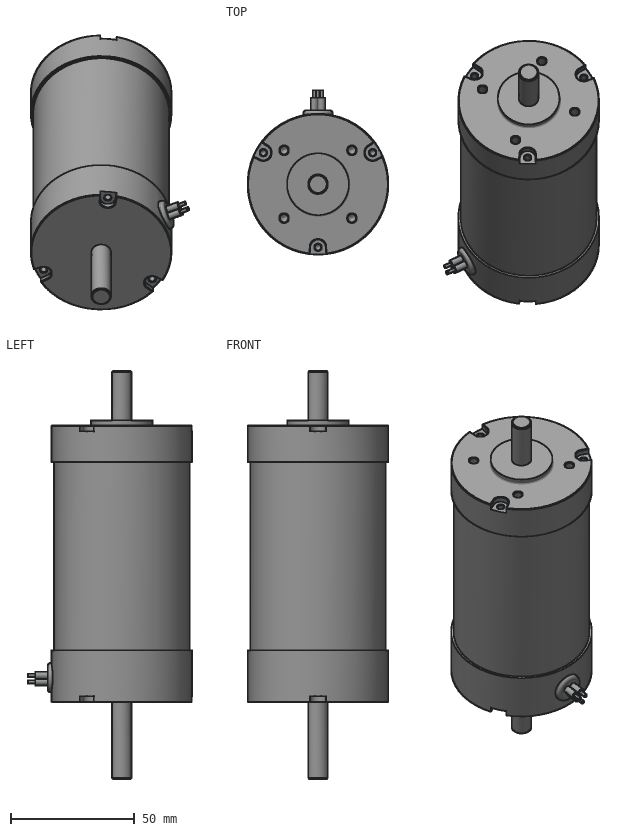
import cadquery as cq
import math

body_length = 112.0
cap_diameter = 57.0
can_diameter = 55.0
top_cap_height = 15.0
bottom_cap_height = 21.0
cap_edge_chamfer = 0.3

shaft_diameter = 8.0
shaft_chamfer = 0.5
shaft_top_overhang = 22.0
shaft_bottom_overhang = 31.0
boss_diameter = 25.0
boss_root_fillet = 0.25
boss_height = 2.0

mount_hole_count = 4
mount_hole_diameter = 3.3
mount_hole_mouth_diameter = 4.0
mount_hole_depth = 8.0
mount_circle_radius = 19.4
drill_tip_angle = 118.0
mount_first_angle = 45.0

notch_count = 3
notch_first_angle = 30.0
notch_circle_radius = 25.5
notch_radius = 3.1
notch_edge_chamfer = 0.3
edge_taper = 45.0
notch_flare_angle = 5.0
notch_depth = 2.5
screw_hole_diameter = 2.5
screw_hole_mouth_diameter = 3.1
screw_hole_depth = 4.0

outlet_height = 10.0
outlet_root_y = 25.0
grommet_diameter = 12.0
grommet_end_y = 30.0
grommet_fillet = 1.45
wire_diameter = 3.0
wire_angles = (30, 150, 270)
wire_end_y = 35.0
core_diameter = 1.4
core_end_y = 38.0


def cylinder(diameter, z_start, z_end):
    """Cylinder on the Z axis between two heights."""
    return cq.Workplane("XY").workplane(offset=z_start).circle(diameter / 2).extrude(z_end - z_start)


def y_cylinder(diameter, x, z, y_end):
    """Cylinder along +Y from inside the bottom cap out to y_end."""
    plane = cq.Plane(origin=(x, outlet_root_y, z), xDir=(1, 0, 0), normal=(0, 1, 0))
    return cq.Workplane(plane).circle(diameter / 2).extrude(y_end - outlet_root_y)


def make_housing():
    can = cylinder(can_diameter, bottom_cap_height, body_length - top_cap_height)
    bottom_cap = cylinder(cap_diameter, 0, bottom_cap_height)
    bottom_cap = bottom_cap.faces("<Z").edges().chamfer(cap_edge_chamfer)
    top_cap = cylinder(cap_diameter, body_length - top_cap_height, body_length)
    top_cap = top_cap.faces("<Z or >Z").edges().chamfer(cap_edge_chamfer)
    top_cap = top_cap.union(cylinder(boss_diameter, body_length, body_length + boss_height))
    boss_root = top_cap.edges(cq.selectors.RadiusNthSelector(0)).edges("<Z")
    top_cap = boss_root.fillet(boss_root_fillet)
    return bottom_cap.union(can).union(top_cap)


def make_shaft():
    shaft = cylinder(shaft_diameter, -shaft_bottom_overhang, body_length + shaft_top_overhang)
    return shaft.faces("<Z or >Z").edges().chamfer(shaft_chamfer)


def blind_hole(diameter, mouth_diameter, depth):
    """Drilled hole from z = 0 up, with a 45 degree chamfered mouth and a conical end."""
    radius = diameter / 2
    mouth_radius = mouth_diameter / 2
    tip_height = radius / math.tan(math.radians(drill_tip_angle / 2))
    profile = (
        cq.Workplane("XZ")
        .lineTo(mouth_radius, 0)
        .lineTo(radius, mouth_radius - radius)
        .lineTo(radius, depth)
        .lineTo(0, depth + tip_height)
        .close()
    )
    return profile.revolve(360, (0, 0, 0), (0, 1, 0))


def make_mount_hole():
    """Mounting hole on +X, cut up from z = 0."""
    hole = blind_hole(mount_hole_diameter, mount_hole_mouth_diameter, mount_hole_depth)
    return hole.translate((mount_circle_radius, 0, 0))


def notch_outline(radius):
    """Outline open toward +X: a round end with straight sides that flare toward the rim."""
    flare = math.radians(notch_flare_angle)
    tangent_x = notch_circle_radius + radius * math.sin(flare)
    tangent_y = radius * math.cos(flare)
    mouth_x = cap_diameter / 2 + radius
    mouth_y = tangent_y + (mouth_x - tangent_x) * math.tan(flare)
    return (
        cq.Workplane("XY")
        .moveTo(mouth_x, -mouth_y)
        .lineTo(tangent_x, -tangent_y)
        .threePointArc((notch_circle_radius - radius, 0), (tangent_x, tangent_y))
        .lineTo(mouth_x, mouth_y)
        .close()
    )


def make_notch():
    """Notch on +X with a chamfered edge and a screw hole in its floor, cut up from z = 0."""
    pocket = notch_outline(notch_radius).extrude(notch_depth)
    edge = notch_outline(notch_radius + notch_edge_chamfer).extrude(notch_edge_chamfer, taper=edge_taper)
    hole = blind_hole(screw_hole_diameter, screw_hole_mouth_diameter, screw_hole_depth)
    return pocket.union(edge).union(hole.translate((notch_circle_radius, 0, notch_depth)))


def make_cable_outlet():
    """Grommet with three touching wires in a triangle, two above one, and their bare cores."""
    outlet = y_cylinder(grommet_diameter, 0, outlet_height, grommet_end_y)
    outlet = outlet.faces(">Y").edges().fillet(grommet_fillet)
    wire_circle_radius = wire_diameter / math.sqrt(3)
    for angle in wire_angles:
        x = wire_circle_radius * math.cos(math.radians(angle))
        z = outlet_height + wire_circle_radius * math.sin(math.radians(angle))
        wire = y_cylinder(wire_diameter, x, z, wire_end_y)
        core = y_cylinder(core_diameter, x, z, core_end_y)
        outlet = outlet.union(wire).union(core)
    return outlet


def cut_around_axis(part, cutter, count, first_angle):
    """Cut copies of a cutter evenly spaced around the Z axis."""
    for index in range(count):
        angle = first_angle + index * 360 / count
        part = part.cut(cutter.rotate((0, 0, 0), (0, 0, 1), angle))
    return part


def turn_to_top(cutter):
    """Mirror a cutter that starts at the bottom face so that it starts at the top face."""
    return cutter.mirror("XY").translate((0, 0, body_length))


bottom_notch = make_notch()
top_notch = turn_to_top(bottom_notch)
mount_hole = turn_to_top(make_mount_hole())

housing = make_housing()
housing = cut_around_axis(housing, mount_hole, mount_hole_count, mount_first_angle)
housing = cut_around_axis(housing, bottom_notch, notch_count, notch_first_angle)
housing = cut_around_axis(housing, top_notch, notch_count, notch_first_angle)

result = housing.union(make_shaft()).union(make_cable_outlet())